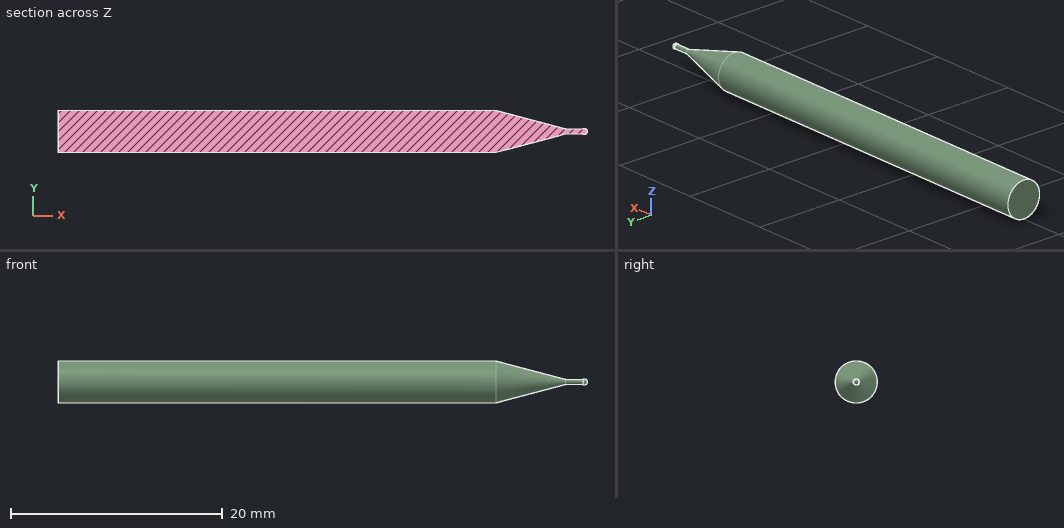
import cadquery as cq
import math

total_length = 50.0
shank_radius = 2.0
shank_length = 41.35
neck_start = 47.95
neck_radius = 0.25
ball_radius = 0.3
head_start = 49.6

ball_center = total_length - ball_radius
ball_mid_offset = ball_radius * math.sqrt(0.5)

profile = (
    cq.Workplane("XY")
    .moveTo(0, 0)
    .lineTo(0, shank_radius)
    .lineTo(shank_length, shank_radius)
    .lineTo(neck_start, neck_radius)
    .lineTo(head_start, neck_radius)
    .lineTo(head_start, ball_radius)
    .lineTo(ball_center, ball_radius)
    .threePointArc((ball_center + ball_mid_offset, ball_mid_offset), (total_length, 0))
    .close()
)

result = profile.revolve(360, (0, 0, 0), (1, 0, 0))